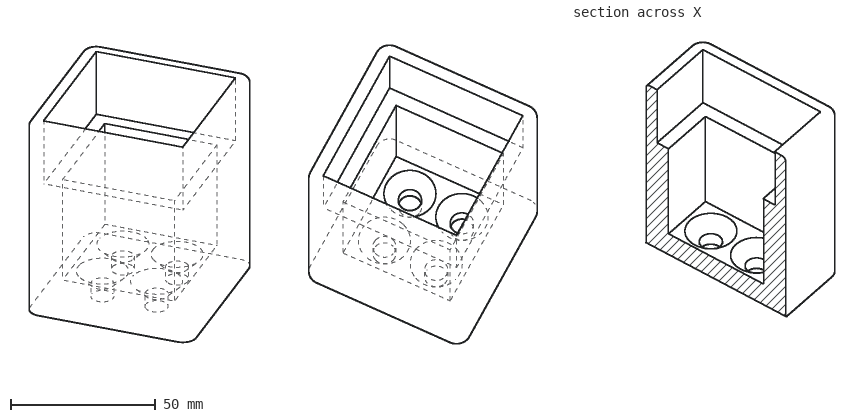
import cadquery as cq

width = 61.5
height = 75.0
corner_radius = 5.0
rim_radius = 2.0

wall = 5.0
ledge = 5.0
upper_depth = 25.0
floor_thickness = 10.0
upper_side = width - 2 * wall
lower_side = upper_side - 2 * ledge

hole_pitch = 20.0
hole_diameter = 8.0
sink_diameter = 18.0
sink_angle = 90.0


def make_block():
    """Square block with rounded upright edges and a rounded top rim."""
    block = cq.Workplane("XY").rect(width, width).extrude(height)
    block = block.edges("|Z").fillet(corner_radius)
    return block.faces(">Z").edges().fillet(rim_radius)


def cut_cavity(body):
    """Open the wide upper pocket, then the narrower pocket down to the floor."""
    lower_depth = height - upper_depth - floor_thickness
    upper = cq.Workplane("XY").workplane(offset=height).rect(upper_side, upper_side).extrude(-upper_depth)
    lower = (
        cq.Workplane("XY")
        .workplane(offset=height - upper_depth)
        .rect(lower_side, lower_side)
        .extrude(-lower_depth)
    )
    return body.cut(upper).cut(lower)


def cut_holes(body):
    """Drill the two-by-two group of countersunk through holes in the cavity floor."""
    return (
        body
        .copyWorkplane(cq.Workplane("XY", origin=(0, 0, floor_thickness)))
        .rarray(hole_pitch, hole_pitch, 2, 2)
        .cskHole(hole_diameter, sink_diameter, sink_angle)
    )


result = cut_holes(cut_cavity(make_block()))